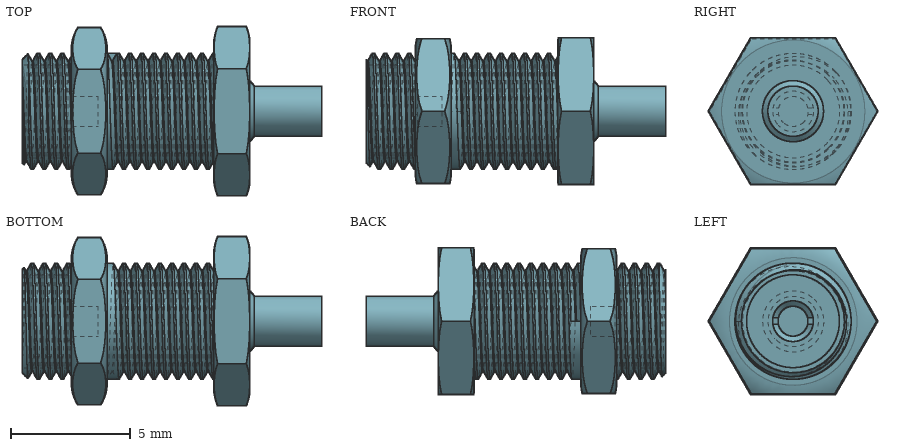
import cadquery as cq
import math

total_length = 12.5
lock_nut_start = 2.05
lock_nut_width = 1.5
body_hex_start = 8.0
body_hex_width = 1.5
body_hex_end = body_hex_start + body_hex_width

lock_nut_flats = 6.05
lock_nut_face_radius = 2.66
lock_nut_flat_setback = 0.06
lock_nut_corner_setback = 0.28
body_hex_flats = 6.12
body_hex_face_radius = 2.99
body_hex_flat_setback = 0.01
body_hex_corner_setback = 0.15

crest_radius = 2.42
root_radius = 2.11
pitch = 0.5
crest_flat = 0.09
flank_angle = 30.0
mouth_bevel = 0.28
front_groove_start = -0.08
front_groove_turns = 5
rear_groove_start = 3.75
rear_groove_turns = 9

stub_radius = 1.05
flare_length = 0.19
flare_height = 0.22

bore_radius = 1.94
bore_depth = 1.9
contact_mouth_radius = 0.85
contact_hole_radius = 0.62
contact_hole_depth = 1.25
slot_width = 0.28

contact_taper_depth = contact_mouth_radius - contact_hole_radius


def make_barrel():
    """Unthreaded barrel with a bevelled mouth, ending inside the fixed hexagon."""
    barrel = cq.Workplane("YZ").circle(crest_radius).extrude(body_hex_end)
    return barrel.faces("<X").chamfer(mouth_bevel)


def make_thread_groove(start, turns):
    """Right-hand V groove about the X axis; its middle starts at the given X on the +Y side."""
    overshoot = 0.06
    outer_radius = crest_radius + overshoot
    slope = math.tan(math.radians(flank_angle))
    half_mouth = (pitch - crest_flat) / 2
    half_outer = half_mouth + overshoot * slope
    half_root = half_mouth - (crest_radius - root_radius) * slope
    helix = cq.Wire.makeHelix(pitch, turns * pitch, root_radius)
    profile = (
        cq.Workplane("XZ")
        .moveTo(root_radius, -half_root)
        .lineTo(outer_radius, -half_outer)
        .lineTo(outer_radius, half_outer)
        .lineTo(root_radius, half_root)
        .close()
    )
    groove = profile.sweep(cq.Workplane(helix), isFrenet=True)
    groove = groove.rotate((0, 0, 0), (0, 1, 0), 90)
    groove = groove.rotate((0, 0, 0), (1, 0, 0), 90)
    return groove.translate((start, 0, 0))


def make_hexagon(start, width, flats, face_radius, flat_setback, corner_setback):
    """Hexagonal prism with its corners rounded off by a curved surface of revolution at both ends."""
    flat_radius = flats / 2
    corner_radius = flat_radius / math.cos(math.radians(30))
    prism = cq.Workplane("YZ").polygon(6, 2 * corner_radius).extrude(width)
    envelope = (
        cq.Workplane("XY")
        .moveTo(0, 0)
        .lineTo(0, face_radius)
        .threePointArc((flat_setback, flat_radius), (corner_setback, corner_radius))
        .lineTo(width - corner_setback, corner_radius)
        .threePointArc((width - flat_setback, flat_radius), (width, face_radius))
        .lineTo(width, 0)
        .close()
        .revolve(360, (0, 0, 0), (1, 0, 0))
    )
    return prism.intersect(envelope).translate((start, 0, 0))


def make_stub():
    """Plain rear tube that flares out where it meets the fixed hexagon."""
    return (
        cq.Workplane("XY")
        .moveTo(body_hex_start, 0)
        .lineTo(body_hex_start, stub_radius + flare_height)
        .lineTo(body_hex_end, stub_radius + flare_height)
        .lineTo(body_hex_end + flare_length, stub_radius)
        .lineTo(total_length, stub_radius)
        .lineTo(total_length, 0)
        .close()
        .revolve(360, (0, 0, 0), (1, 0, 0))
    )


def make_socket():
    """Front bore, plus the tapered contact hole in its floor with a slot across the taper."""
    taper_end = bore_depth + contact_taper_depth
    hole_end = bore_depth + contact_hole_depth
    bore_and_hole = (
        cq.Workplane("XY")
        .moveTo(0, 0)
        .lineTo(0, bore_radius)
        .lineTo(bore_depth, bore_radius)
        .lineTo(bore_depth, contact_mouth_radius)
        .lineTo(taper_end, contact_hole_radius)
        .lineTo(hole_end, contact_hole_radius)
        .lineTo(hole_end, 0)
        .close()
        .revolve(360, (0, 0, 0), (1, 0, 0))
    )
    slot_plane = cq.Workplane("YZ").workplane(offset=bore_depth)
    slot_disc = slot_plane.circle(contact_mouth_radius).extrude(contact_taper_depth)
    slot_bar = slot_plane.rect(2 * contact_mouth_radius, slot_width).extrude(contact_taper_depth)
    return bore_and_hole.union(slot_bar.intersect(slot_disc))


barrel = make_barrel()
barrel = barrel.cut(make_thread_groove(front_groove_start, front_groove_turns))
barrel = barrel.cut(make_thread_groove(rear_groove_start, rear_groove_turns))

lock_nut = make_hexagon(
    lock_nut_start,
    lock_nut_width,
    lock_nut_flats,
    lock_nut_face_radius,
    lock_nut_flat_setback,
    lock_nut_corner_setback,
)
body_hex = make_hexagon(
    body_hex_start,
    body_hex_width,
    body_hex_flats,
    body_hex_face_radius,
    body_hex_flat_setback,
    body_hex_corner_setback,
)

result = barrel.union(lock_nut).union(body_hex).union(make_stub()).cut(make_socket())